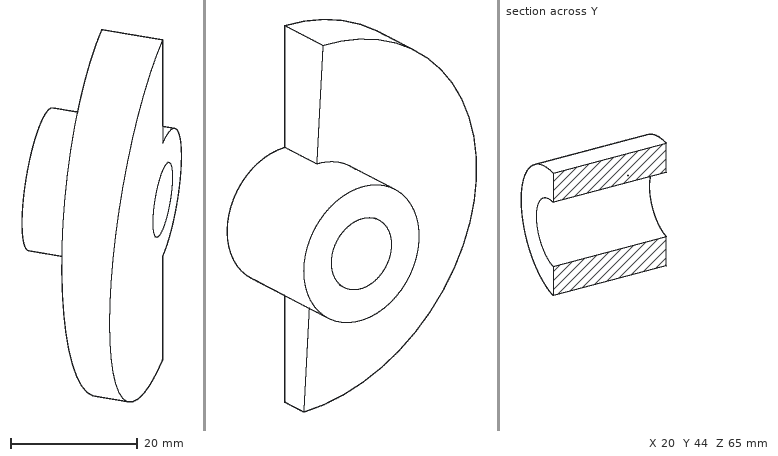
import cadquery as cq

disc_diameter = 65.0
hub_diameter = 23.0
bore_diameter = 12.0
hub_length = 20.0
thickness_top = 10.0
thickness_bottom = 5.0

disc_radius = disc_diameter / 2


def cylinder_along_x(diameter, length):
    """Cylinder on the X axis, reaching from the back face toward -X."""
    return cq.Workplane("YZ").circle(diameter / 2).extrude(-length)


def tapered_half_disc():
    """Half disc on the -Y side, thinning evenly from top to bottom."""
    wedge = (
        cq.Workplane("XZ")
        .moveTo(0, -disc_radius)
        .lineTo(-thickness_bottom, -disc_radius)
        .lineTo(-thickness_top, disc_radius)
        .lineTo(0, disc_radius)
        .close()
        .extrude(disc_radius)
    )
    return wedge.intersect(cylinder_along_x(disc_diameter, thickness_top))


hub = cylinder_along_x(hub_diameter, hub_length)
bore = cylinder_along_x(bore_diameter, hub_length)

result = tapered_half_disc().union(hub).cut(bore)